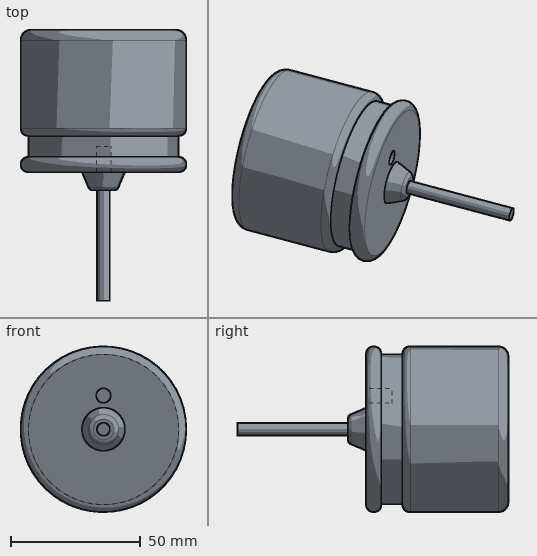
import cadquery as cq
import math

body_diameter = 64.0
body_length = 55.0
total_length = 104.55

bead_radius = 3.0
bead_width = 2 * bead_radius
groove_width = 8.0
groove_diameter = body_diameter - 2 * bead_radius
shoulder_radius = bead_radius
back_edge_radius = 4.0

gland_base_diameter = 16.6
gland_tip_diameter = 10.6
gland_length = 7.0
gland_tip_radius = 2.0
rod_diameter = 5.0

hole_diameter = 5.6
hole_offset = 13.0
hole_depth = 10.0


def make_body():
    """Solid of revolution: main drum, neck groove and full-round front bead."""
    outer = body_diameter / 2
    neck = groove_diameter / 2
    bead_back = -(body_length - bead_width)
    shoulder_front = bead_back + groove_width
    diagonal = math.sqrt(0.5)
    back_arc_mid = back_edge_radius * (1 - diagonal)
    shoulder_arc_mid = shoulder_radius * (1 - diagonal)
    profile = (
        cq.Workplane("XY")
        .lineTo(outer - back_edge_radius, 0)
        .threePointArc((outer - back_arc_mid, -back_arc_mid), (outer, -back_edge_radius))
        .lineTo(outer, shoulder_front + shoulder_radius)
        .threePointArc(
            (outer - shoulder_arc_mid, shoulder_front + shoulder_arc_mid),
            (neck, shoulder_front),
        )
        .lineTo(neck, bead_back)
        .threePointArc((outer, bead_back - bead_radius), (neck, -body_length))
        .lineTo(0, -body_length)
        .close()
    )
    return profile.revolve(360, (0, 0, 0), (0, 1, 0))


def make_gland():
    """Cone on the front face, its tip edge rounded."""
    cone = (
        cq.Workplane("XY")
        .moveTo(0, -body_length)
        .lineTo(gland_base_diameter / 2, -body_length)
        .lineTo(gland_tip_diameter / 2, -body_length - gland_length)
        .lineTo(0, -body_length - gland_length)
        .close()
        .revolve(360, (0, 0, 0), (0, 1, 0))
    )
    return cone.faces("<Y").edges().fillet(gland_tip_radius)


def make_rod():
    """Straight rod from the front face of the body to the far end."""
    return (
        cq.Workplane("XZ", origin=(0, -body_length, 0))
        .circle(rod_diameter / 2)
        .extrude(total_length - body_length)
    )


def make_hole():
    """Blind hole cutter reaching back into the body from the front face."""
    return (
        cq.Workplane("XZ", origin=(0, -body_length, hole_offset))
        .circle(hole_diameter / 2)
        .extrude(-hole_depth)
    )


result = make_body().union(make_gland()).union(make_rod()).cut(make_hole())